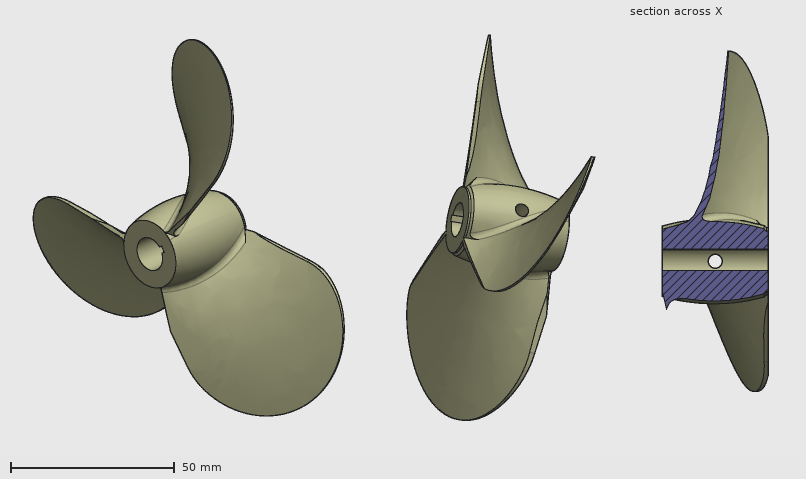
import cadquery as cq
import math

width_x = 117.3
depth_y = 32.5

hub_front_y = -depth_y / 2
hub_back_y = 15.6
hub_end_radius = 10.8
hub_middle_radius = 13.0
hub_back_bevel = 0.7
hub_overrun = 2.3
bore_radius = 5.3
key_width = 2.0
key_reach = 6.2
key_angle = 30.0
pin_radius = 2.1
through_length = 2 * depth_y

blade_count = 3
blade_angle = 84.2
blade_back_y = depth_y / 2
pitch = 157.2
rake = 0.065
rake_zero_radius = 15.3
lobe_radius = 22.8
left_reach = -math.cos(math.radians(blade_angle + 360 / blade_count))
right_reach = math.cos(math.radians(blade_angle + 2 * 360 / blade_count))
lobe_distance = (width_x - 2 * lobe_radius) / (left_reach + right_reach)
taper_apex = 5.9
inner_radius = 7.6
outer_radius = 68.0
inner_half_thickness = 1.5
outer_half_thickness = 0.1
helix_span = 50.0
helix_points = 15
root_fillet = 2.0
root_midpoint_reach = 3.5

end_angle = -38.0
end_radius = 21.1
end_inner_radius = 9.4
end_cut_depth = 7.0
end_cut_width = 9.4


def centre_height(radius, angle):
    """Y of the middle surface at an angle from the blade centreline."""
    return pitch * angle / 360 + rake * (radius - rake_zero_radius)


def on_blade(radius, angle, lift):
    """Point on a blade; the centreline lies along +X and angles turn towards +Z."""
    turn = math.radians(angle)
    return cq.Vector(radius * math.cos(turn), centre_height(radius, angle) + lift, radius * math.sin(turn))


def helix(radius, lift):
    """Edge of the sheet at one radius, lifted along Y from the middle surface."""
    step = 2 * helix_span / (helix_points - 1)
    return cq.Edge.makeSpline(
        [on_blade(radius, step * i - helix_span, lift) for i in range(helix_points)]
    )


def blade_sheet():
    """Thick raked helicoid, larger than the finished blade on every side."""
    corners = [
        (inner_radius, -inner_half_thickness),
        (outer_radius, -outer_half_thickness),
        (outer_radius, outer_half_thickness),
        (inner_radius, inner_half_thickness),
    ]
    curves = [helix(radius, lift) for radius, lift in corners]
    sides = [cq.Face.makeRuledSurface(curves[i - 1], curves[i]) for i in range(len(curves))]
    ends = []
    for angle in (-helix_span, helix_span):
        outline = cq.Wire.makePolygon([on_blade(r, angle, lift) for r, lift in corners], close=True)
        ends.append(cq.Face.makeFromWires(outline))
    return cq.Workplane(cq.Solid.makeSolid(cq.Shell.makeShell(sides + ends)).fix())


def blade_outline():
    """Prism along Y: a round lobe with straight sides running in towards the axis."""
    half_angle = math.asin(lobe_radius / (lobe_distance + taper_apex))
    tangent_x = lobe_distance - lobe_radius * math.sin(half_angle)
    tangent_z = lobe_radius * math.cos(half_angle)
    return (
        cq.Workplane("XZ")
        .moveTo(-taper_apex, 0)
        .lineTo(tangent_x, -tangent_z)
        .threePointArc((lobe_distance + lobe_radius, 0), (tangent_x, tangent_z))
        .close()
        .extrude(through_length / 2, both=True)
    )


def hub_barrel():
    """Barrel with an arc profile, overrunning both ends; a bevel and a narrow neck form the back."""
    middle_y = (hub_front_y + hub_back_y) / 2
    half_length = (hub_back_y - hub_front_y) / 2
    bulge = hub_middle_radius - hub_end_radius
    arc_radius = (half_length**2 + bulge**2) / (2 * bulge)

    def barrel_radius(y):
        return hub_middle_radius - arc_radius + math.sqrt(arc_radius**2 - (y - middle_y) ** 2)

    start_y = hub_front_y - hub_overrun
    bevel_y = hub_back_y - hub_back_bevel
    neck_radius = barrel_radius(bevel_y) - hub_back_bevel
    end_y = blade_back_y + hub_overrun
    return (
        cq.Workplane("XY")
        .moveTo(0, start_y)
        .lineTo(barrel_radius(start_y), start_y)
        .threePointArc((hub_middle_radius, middle_y), (barrel_radius(bevel_y), bevel_y))
        .lineTo(neck_radius, hub_back_y)
        .lineTo(neck_radius, end_y)
        .lineTo(0, end_y)
        .close()
        .revolve(360, (0, 0, 0), (0, 1, 0))
    )


def each_blade(shape):
    """Copies of a shape made for a blade along +X, one at every blade position."""
    return [
        shape.rotate((0, 0, 0), (0, 1, 0), -(blade_angle + 360 / blade_count * i))
        for i in range(blade_count)
    ]


def end_cutter():
    """Block whose top face holds the end line of the blade and stands square to its surface."""
    turn = math.radians(end_angle)
    slope = math.atan(pitch / (2 * math.pi) / end_radius)
    outward = cq.Vector(math.cos(turn), rake, math.sin(turn))
    down = cq.Vector(
        math.sin(turn) * math.cos(slope), -math.sin(slope), -math.cos(turn) * math.cos(slope)
    )
    plane = cq.Plane(on_blade(end_inner_radius, end_angle, 0), outward, down)
    return (
        cq.Workplane(plane)
        .rect(outer_radius, end_cut_width)
        .extrude(end_cut_depth)
        .translate(outward * (outer_radius / 2))
    )


def trim_slab():
    """Wide slab between the hub's front face and the flat backs of the blades."""
    width = 4 * outer_radius
    return (
        cq.Workplane("XZ", origin=(0, blade_back_y, 0))
        .rect(width, width)
        .extrude(blade_back_y - hub_front_y)
    )


def round_blade_roots(body):
    """Round the long curves where the blades leave the barrel; their midpoints lie near Y = 0."""
    corner = cq.Vector(hub_middle_radius, root_midpoint_reach, hub_middle_radius)
    roots = cq.selectors.BoxSelector((-corner).toTuple(), corner.toTuple())
    return body.edges(roots).fillet(root_fillet)


def keyed_bore():
    bore = cq.Workplane("XZ").circle(bore_radius).extrude(through_length / 2, both=True)
    keyway = (
        cq.Workplane("XZ")
        .center(key_reach / 2, 0)
        .rect(key_reach, key_width)
        .extrude(through_length / 2, both=True)
        .rotate((0, 0, 0), (0, 1, 0), -key_angle)
    )
    return bore.union(keyway)


def pin_hole():
    """Radial hole from the -X side of the hub into the bore."""
    return cq.Workplane("YZ").circle(pin_radius).extrude(-2 * hub_middle_radius)


blade = blade_sheet().intersect(blade_outline())
hub = hub_barrel()
propeller = hub
for placed_blade in each_blade(blade):
    propeller = propeller.union(placed_blade)
propeller = round_blade_roots(propeller)
propeller = propeller.intersect(trim_slab())
for placed_cutter in each_blade(end_cutter().cut(hub)):
    propeller = propeller.cut(placed_cutter)
result = propeller.cut(keyed_bore()).cut(pin_hole())